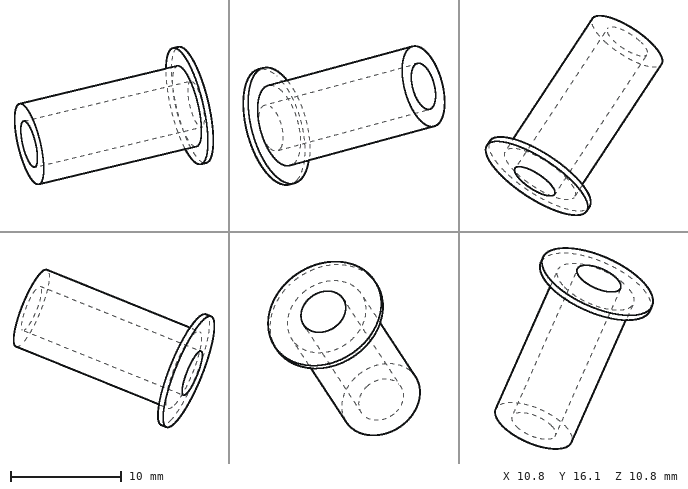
import cadquery as cq

total_length = 16.08
head_diameter = 10.8
sleeve_diameter = 7.5
bore_diameter = 4.28
rim_thickness = 0.53
cone_height = 0.34
crown_diameter = 7.08

head_radius = head_diameter / 2
sleeve_radius = sleeve_diameter / 2
bore_radius = bore_diameter / 2
crown_radius = crown_diameter / 2
rim_top = total_length - cone_height
rim_bottom = rim_top - rim_thickness

half_section = (
    cq.Workplane("XY")
    .moveTo(bore_radius, 0)
    .lineTo(sleeve_radius, 0)
    .lineTo(sleeve_radius, rim_bottom)
    .lineTo(head_radius, rim_bottom)
    .lineTo(head_radius, rim_top)
    .lineTo(crown_radius, total_length)
    .lineTo(bore_radius, total_length)
    .close()
)

result = half_section.revolve(360, (0, 0, 0), (0, 1, 0))